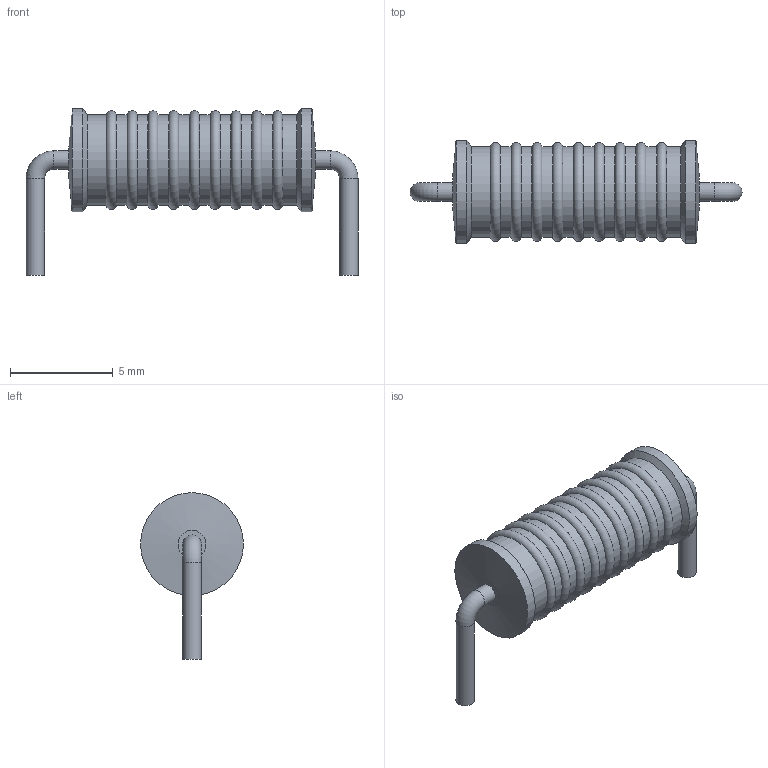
import cadquery as cq


lead_pitch = 15.24
lead_diameter = 0.9
lead_bend_radius = 0.9
lead_drop = 5.6

core_diameter = 4.4
flange_diameter = 5.0
end_face_diameter = 1.36
body_length = 12.0
end_cone_depth = 0.17
rim_width = 0.53
shoulder_width = 0.2

turn_count = 9
turn_pitch = 1.01
wire_diameter = 0.5
winding_diameter = 4.8
winding_offset = 0.12


def make_body():
    """Core with a flange and a shallow cone at each end, revolved about X."""
    end_x = body_length / 2
    rim_outer_x = end_x - end_cone_depth
    rim_inner_x = rim_outer_x - rim_width
    core_end_x = rim_inner_x - shoulder_width
    half_profile = [
        (end_x, end_face_diameter / 2),
        (rim_outer_x, flange_diameter / 2),
        (rim_inner_x, flange_diameter / 2),
        (core_end_x, core_diameter / 2),
    ]
    mirrored_profile = [(-x, radius) for x, radius in reversed(half_profile)]
    outline = [(end_x, 0), *half_profile, *mirrored_profile, (-end_x, 0)]
    return cq.Workplane("XY").polyline(outline).close().revolve(360, (0, 0), (1, 0))


def make_turn(x):
    """One closed turn of wire around the core, centred at the given x."""
    ring_radius = (winding_diameter - wire_diameter) / 2
    wire_section = cq.Workplane("XY").center(x, ring_radius).circle(wire_diameter / 2)
    return wire_section.revolve(360, (0, -ring_radius), (1, -ring_radius))


def make_lead(side):
    """Round lead leaving the body axially and bending down; side is -1 or +1."""
    start_x = side * (body_length / 2 - end_cone_depth)
    drop_x = side * lead_pitch / 2
    bend_start_x = drop_x - side * lead_bend_radius
    path = (
        cq.Workplane("XZ")
        .moveTo(start_x, 0)
        .lineTo(bend_start_x, 0)
        .tangentArcPoint((drop_x, -lead_bend_radius), relative=False)
        .lineTo(drop_x, -lead_drop)
    )
    section = cq.Workplane("YZ", origin=(start_x, 0, 0)).circle(lead_diameter / 2)
    return section.sweep(path)


result = make_body()

first_turn_x = winding_offset - (turn_count - 1) * turn_pitch / 2
for turn in range(turn_count):
    result = result.union(make_turn(first_turn_x + turn * turn_pitch))

for side in (-1, 1):
    result = result.union(make_lead(side))